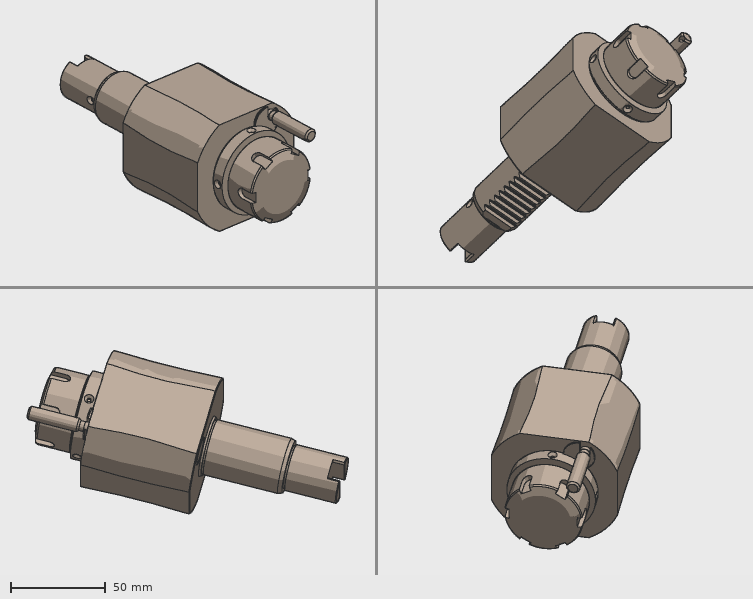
import cadquery as cq
import math


tang_radius = 12.5
tang_end = 28.3
tang_slot_width = 9.4
tang_slot_depth = 6.7
tang_slot_flare = 1.0
tang_slot_floor_fillet = 0.5
tang_end_chamfer = 0.5
tang_screw_x = 24.5

groove_radius = 11.7
shank_start = 29.3
shank_radius = 15.0
shank_lead_length = 2.2
shank_lead_drop = 0.8
neck_start = 72.1
neck_radius = 14.7
flange_start = 73.1
flange_radius = 15.9
flange_base_radius = 16.5
flat_z = -12.0
flat_end = 67.1
tooth_count = 8
tooth_pitch = 4.0
first_valley_x = 34.8
valley_depth = 1.5
valley_mouth = 3.2
valley_floor = 0.7

body_start = 74.3
body_end = 134.2
body_width = 68.0
body_height = 64.0
corner_radius = 37.0
waist_radius = 36.3
corner_band = 3.2
body_chamfer = 0.5
plug_y = 12.4
plug_z = 21.5
plug_radius = 7.5
plug_recess = 0.3

collar_start = 135.4
collar_end = 142.4
collar_radius = 24.0
collar_neck_radius = 23.1
collar_hole_count = 4
collar_hole_x = 138.7
nut_neck_radius = 16.5
nut_start = 143.4
nut_radius = 21.0
nut_back_chamfer = 0.3
nut_bevel_start = 161.5
nut_bevel_radius = 20.5
nut_rim_x = 162.5
nut_end = 164.0
nut_face_radius = 15.4
nut_slot_count = 6
nut_slot_start = 152.0
nut_slot_width = 6.0
nut_slot_floor = 18.4

pin_y = 16.9
pin_z = 26.0
pin_end = 167.3
pin_radius = 3.7
pin_base_radius = 2.8
pin_base_end = 136.5
pin_neck_radius = 2.7
pin_neck_end = 139.0
pin_shoulder = 1.2
pin_tip_chamfer = 1.0
nozzle_radius = 1.5
nozzle_setback = 4.9
disc_y = 13.7
disc_z = 23.3
disc_radius = 8.5
disc_stem_radius = 8.0
disc_end = 136.0

recess_radius = 2.5
recess_depth = 1.7
socket_radius = 1.0
socket_depth = 1.3

overlap = 1.7
X_AXIS = ((0, 0, 0), (1, 0, 0))


def revolved(points):
    """Solid of revolution about the X axis from (x, radius) points."""
    outline = [(points[0][0], 0)] + points + [(points[-1][0], 0)]
    return cq.Workplane("XY").polyline(outline).close().revolve(360, (0, 0), (1, 0))


def cylinder_x(x_start, x_end, radius, y=0.0, z=0.0):
    """Cylinder parallel to the X axis."""
    return cq.Workplane("YZ", origin=(x_start, y, z)).circle(radius).extrude(x_end - x_start)


def screw_recess(x, surface_radius):
    """Cutter for a conical recess ending in a round socket, entering from the -Y side."""
    recess = cq.Solid.makeCone(
        recess_radius, socket_radius, recess_depth, cq.Vector(x, -surface_radius, 0), cq.Vector(0, 1, 0)
    )
    socket = cq.Solid.makeCylinder(
        socket_radius, recess_depth + socket_depth, cq.Vector(x, -surface_radius, 0), cq.Vector(0, 1, 0)
    )
    return cq.Workplane("XY").add(recess).union(cq.Workplane("XY").add(socket))


def make_shank():
    shank = revolved([
        (0, tang_radius - tang_end_chamfer),
        (tang_end_chamfer, tang_radius),
        (tang_end, tang_radius),
        (tang_end, groove_radius),
        (shank_start, groove_radius),
        (shank_start, shank_radius - shank_lead_drop),
        (shank_start + shank_lead_length, shank_radius),
        (neck_start, shank_radius),
        (neck_start, neck_radius),
        (flange_start, neck_radius),
        (flange_start, flange_radius),
        (body_start, flange_base_radius),
        (body_start + overlap, flange_base_radius),
    ])
    shank = shank.cut(make_rack_cutter())
    shank = shank.cut(make_tang_slot())
    return shank.cut(screw_recess(tang_screw_x, tang_radius))


def make_rack_cutter():
    """Flat along the underside of the shank, with a row of trapezoid valleys above it."""
    flat_length = flat_end - shank_start
    cutter = cq.Workplane("XY").box(
        flat_length, 2 * shank_radius, shank_radius, centered=(False, True, False)
    ).translate((shank_start, 0, flat_z - shank_radius))
    for index in range(tooth_count):
        valley_x = first_valley_x + index * tooth_pitch
        valley = (
            cq.Workplane("XZ")
            .polyline([
                (valley_x - valley_mouth / 2, flat_z),
                (valley_x - valley_floor / 2, flat_z + valley_depth),
                (valley_x + valley_floor / 2, flat_z + valley_depth),
                (valley_x + valley_mouth / 2, flat_z),
            ])
            .close()
            .extrude(shank_radius, both=True)
        )
        cutter = cutter.union(valley)
    return cutter


def make_tang_slot():
    """Vertical slot across the tang, chamfered at its mouth and flared at its top and bottom edges."""
    half_width = tang_slot_width / 2
    slot = cq.Workplane("XY").box(
        2 * tang_slot_depth, tang_slot_width, 2 * (tang_radius + overlap)
    )
    slot = slot.edges("|Z and >X").fillet(tang_slot_floor_fillet)
    mouth = (
        cq.Workplane("XY")
        .polyline([
            (0, -half_width - tang_end_chamfer),
            (tang_end_chamfer, -half_width),
            (tang_end_chamfer, half_width),
            (0, half_width + tang_end_chamfer),
        ])
        .close()
        .extrude(tang_radius, both=True)
    )
    slot = slot.union(mouth)

    edge_y = half_width + tang_slot_flare
    edge_z = math.sqrt(tang_radius**2 - edge_y**2)
    for side in (1, -1):
        flare = (
            cq.Workplane("YZ")
            .polyline([
                (-half_width, side * (edge_z - tang_slot_flare)),
                (half_width, side * (edge_z - tang_slot_flare)),
                (edge_y, side * edge_z),
                (edge_y, side * tang_radius),
                (-edge_y, side * tang_radius),
                (-edge_y, side * edge_z),
            ])
            .close()
            .extrude(tang_slot_depth)
        )
        slot = slot.union(flare)
    return slot


def make_body():
    length = body_end - body_start
    block = cq.Workplane("XY").box(length, body_width, body_height, centered=(False, True, True))
    block = block.translate((body_start, 0, 0))
    barrel = (
        cq.Workplane("XY")
        .moveTo(body_start, 0)
        .lineTo(body_start, corner_radius)
        .lineTo(body_start + corner_band, corner_radius)
        .threePointArc(
            ((body_start + body_end) / 2, waist_radius), (body_end - corner_band, corner_radius)
        )
        .lineTo(body_end, corner_radius)
        .lineTo(body_end, 0)
        .close()
        .revolve(360, (0, 0), (1, 0))
    )
    body = block.intersect(barrel).faces("<X").chamfer(body_chamfer)
    plug_face = cylinder_x(body_start, body_start + plug_recess, plug_radius, plug_y, plug_z)
    return body.cut(plug_face)


def make_collar_and_nut():
    head = revolved([
        (body_end - overlap, collar_neck_radius),
        (collar_start, collar_neck_radius),
        (collar_start, collar_radius),
        (collar_end, collar_radius),
        (collar_end, nut_neck_radius),
        (nut_start, nut_neck_radius),
        (nut_start, nut_radius - nut_back_chamfer),
        (nut_start + nut_back_chamfer, nut_radius),
        (nut_bevel_start, nut_radius),
        (nut_rim_x, nut_bevel_radius),
        (nut_end, nut_face_radius),
    ])
    hole = screw_recess(collar_hole_x, collar_radius)
    for index in range(collar_hole_count):
        head = head.cut(hole.rotate(*X_AXIS, index * 360 / collar_hole_count))

    round_radius = nut_slot_width / 2
    round_x = nut_slot_start + round_radius
    slot = (
        cq.Workplane("XZ", origin=(0, -nut_slot_floor, 0))
        .moveTo(nut_end + overlap, -round_radius)
        .lineTo(round_x, -round_radius)
        .threePointArc((nut_slot_start, 0), (round_x, round_radius))
        .lineTo(nut_end + overlap, round_radius)
        .close()
        .extrude(nut_radius)
    )
    for index in range(nut_slot_count):
        head = head.cut(slot.rotate(*X_AXIS, index * 360 / nut_slot_count))
    return head


def make_coolant_pin():
    pin = revolved([
        (body_end - overlap, pin_base_radius),
        (pin_base_end, pin_base_radius),
        (pin_base_end, pin_neck_radius),
        (pin_neck_end, pin_neck_radius),
        (pin_neck_end + pin_shoulder, pin_radius),
        (pin_end - pin_tip_chamfer, pin_radius),
        (pin_end, pin_radius - pin_tip_chamfer),
    ]).translate((0, pin_y, pin_z))

    nozzle = cq.Solid.makeCylinder(
        nozzle_radius,
        2 * pin_radius,
        cq.Vector(pin_end - nozzle_setback, pin_y, pin_z),
        cq.Vector(math.sqrt(2), -1, -1),
    )
    stem = cylinder_x(body_end - overlap, collar_start, disc_stem_radius, disc_y, disc_z)
    disc = cylinder_x(collar_start, disc_end, disc_radius, disc_y, disc_z)

    notch = cq.Workplane("XY").box(
        disc_end - body_end, 2 * pin_base_radius, 2 * disc_radius, centered=(False, True, False)
    ).translate((body_end, pin_y, pin_z))
    washer = stem.union(disc).cut(notch)
    return washer.union(pin.cut(nozzle))


result = (
    make_body()
    .union(make_shank())
    .union(make_collar_and_nut())
    .union(make_coolant_pin())
)